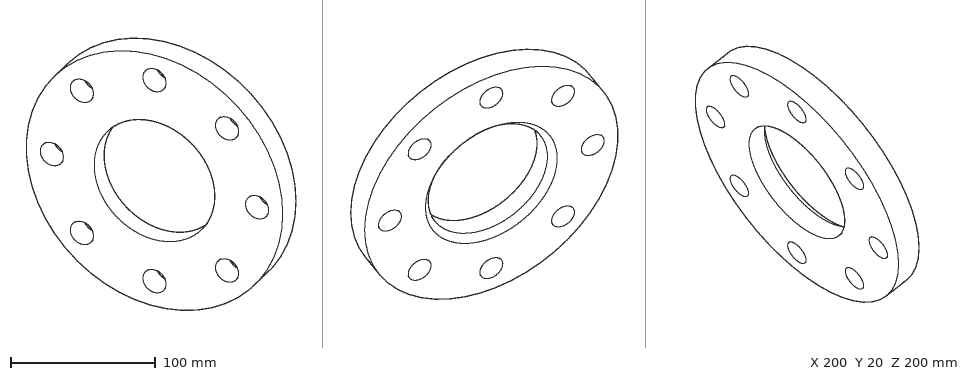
import cadquery as cq

outer_diameter = 200.0
bore_diameter = 94.0
thickness = 20.0
bore_chamfer = 5.0

bolt_circle_diameter = 160.0
bolt_hole_diameter = 18.0
bolt_hole_count = 8


def back_face_plane():
    """Workplane on the +Y face; extruding from it runs towards -Y."""
    return cq.Workplane("XZ", origin=(0, thickness / 2, 0))


def flange_ring():
    """Flat ring with a through bore, centred on the origin."""
    return (
        back_face_plane()
        .circle(outer_diameter / 2)
        .circle(bore_diameter / 2)
        .extrude(thickness)
    )


def bore_chamfer_cone():
    """Tapered plug that chamfers the bore where it meets the +Y face."""
    return (
        back_face_plane()
        .circle(bore_diameter / 2 + bore_chamfer)
        .workplane(offset=bore_chamfer)
        .circle(bore_diameter / 2)
        .loft(ruled=True)
    )


def bolt_holes():
    """Cylinders that cut the bolt holes through the full thickness."""
    return (
        back_face_plane()
        .polarArray(bolt_circle_diameter / 2, 0, 360, bolt_hole_count)
        .circle(bolt_hole_diameter / 2)
        .extrude(thickness)
    )


result = flange_ring().cut(bore_chamfer_cone()).cut(bolt_holes())